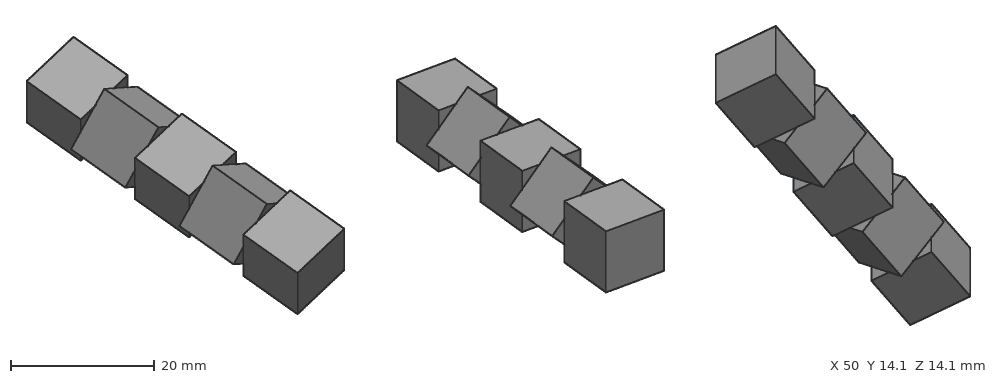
import cadquery as cq

cube_side = 10.0
cube_count = 5
twist_step = 45.0
row_length = cube_side * cube_count


def row_cube(index):
    """Cube at the given place in the row, twisted about X when its index is odd."""
    center_x = (index + 0.5) * cube_side - row_length / 2
    twist = twist_step * (index % 2)
    cube = cq.Workplane("XY").box(cube_side, cube_side, cube_side)
    return cube.rotate((0, 0, 0), (1, 0, 0), twist).translate((center_x, 0, 0))


result = row_cube(0)
for index in range(1, cube_count):
    result = result.union(row_cube(index))